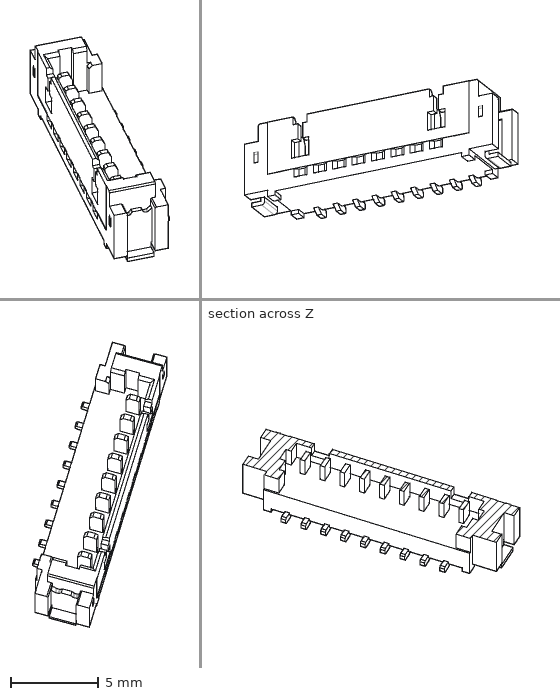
import cadquery as cq


contact_count = 9
pitch = 1.25
contact_width = 0.3
pin_front = 0.78
pin_back = 1.57
pin_top = 3.87
pin_front_bevel = 0.17
pin_back_bevel = 0.2
pin_front_bevel_height = 0.1
pin_back_bevel_height = 0.4
lead_top = 0.45
lead_back = 4.25
lead_back_bevel = 0.1
lead_front = 3.0

body_half = 6.5
body_front = 0.03
body_back = 3.7
body_bottom = 0.3
floor_top = 1.64
panel_bottom = 1.45
overlap = 0.2

tower_half = 7.11
tower_back = 2.8
tower_top = 4.7
tower_bevel = 0.1

cavity_half = 5.9
cavity_front = 0.42
cavity_bevel = 0.2
key_half = 6.24
key_front = 1.15
key_back = 1.97

ear_half = 8.0
ear_top = 3.63
ear_bottom = 0.44
ear_front_back = 0.82
ear_rear_front = 2.5
ear_rear_back = 3.29
ear_bevel = 0.08

post_inner = 5.58
post_lip_front = 2.73
post_back = 3.6
post_bevel = 0.27

latch_mouth = (-4.85, -3.95)
latch_neck = (-4.53, -4.23)
latch_window = (-4.95, -3.84)
latch_mouth_bottom = 4.21
latch_neck_bottom = 3.26
latch_window_bottom = 2.13

core_width = 0.84
core_side_taper = 0.22
core_depth = 0.2
core_bottom = 0.93

foot_outer = 6.5
foot_inner = 6.02
foot_bottom = 0.05
foot_front_depth = 0.8
foot_rear_front = 3.0

tab_thickness = 0.26
tab_outer = 7.37
tab_foot_outer = 7.95
tab_foot_front = 0.86
tab_foot_back = 2.46
tab_shoulder = 0.6
tab_valley = 2.9
tab_crest = 3.1
tab_middle = 1.61
tab_crest_half = 0.29
tab_valley_inner = 0.43
tab_valley_outer = 0.63
tab_valley_radius = 0.07
tab_bend_radius = 0.2
barb_bottom = 2.32
barb_top = 2.97
barb_slope_height = 0.15


def box(x0, x1, y0, y1, z0, z1):
    """Axis-aligned block between two opposite corners."""
    return cq.Workplane("XY").box(x1 - x0, y1 - y0, z1 - z0, centered=False).translate((x0, y0, z0))


def side_prism(points, x0, x1):
    """Outline of (Y, Z) points extruded from x0 to x1."""
    return cq.Workplane("YZ").polyline(points).close().extrude(x1 - x0).translate((x0, 0, 0))


def both_ends(shape):
    """The shape together with its mirror image about X = 0."""
    return shape.union(shape.mirror("YZ"))


def make_tower():
    tower = box(-tower_half, -body_half + overlap, body_front, tower_back, ear_bottom, tower_top)
    tower = tower.edges("<X and >Z").chamfer(tower_bevel)
    inner = box(-body_half, -post_inner, 0, tower_back, floor_top - overlap, tower_top)
    return tower.union(inner)


def make_ears():
    front = box(-ear_half, -body_half, body_front, ear_front_back, ear_bottom, ear_top)
    front = front.edges(">Y and >Z").chamfer(ear_bevel)
    rear = box(-ear_half, -body_half, ear_rear_front, ear_rear_back, ear_bottom, ear_top)
    rear = rear.edges("<Y and >Z").chamfer(ear_bevel)
    return front.union(rear)


def make_post():
    post = box(-body_half, -cavity_half, tower_back, post_back, body_bottom, ear_top)
    lip = box(-cavity_half, -post_inner, post_lip_front, post_back, body_bottom, ear_top)
    return post.union(lip.edges("<Y and >Z").chamfer(post_bevel))


def make_feet():
    front = box(-foot_outer, -foot_inner, body_front, foot_front_depth, foot_bottom, floor_top)
    rear = box(-foot_outer, -foot_inner, foot_rear_front, body_back, foot_bottom, floor_top)
    return front.union(rear)


def make_cavity():
    """Space inside the shroud: open top and back, flared rim, key grooves in both end walls."""
    cavity = box(-cavity_half, cavity_half, cavity_front, tower_back, floor_top, tower_top)
    rim_bottom = tower_top - cavity_bevel
    rim_half = cavity_half + cavity_bevel
    rim_front = cavity_front - cavity_bevel
    rim = (
        cq.Workplane("XY", origin=(0, 0, rim_bottom))
        .moveTo(-cavity_half, cavity_front).lineTo(cavity_half, cavity_front)
        .lineTo(cavity_half, tower_back).lineTo(-cavity_half, tower_back).close()
        .workplane(offset=cavity_bevel)
        .moveTo(-rim_half, rim_front).lineTo(rim_half, rim_front)
        .lineTo(rim_half, tower_back).lineTo(-rim_half, tower_back).close()
        .loft(ruled=True)
    )
    key = box(-key_half, key_half, key_front, key_back, floor_top, tower_top)
    return cavity.union(rim).union(key)


def make_latch_slot():
    mouth = box(*latch_mouth, 0, cavity_front, latch_mouth_bottom, tower_top)
    neck = box(*latch_neck, 0, cavity_front, latch_neck_bottom, tower_top)
    window = box(*latch_window, 0, cavity_front, latch_window_bottom, latch_neck_bottom)
    return mouth.union(neck).union(window)


def make_core_pocket(x):
    """Pocket that narrows with depth, below the overhanging front panel."""
    mouth = core_width / 2
    end = mouth - core_side_taper
    pocket_back = body_front + core_depth
    outline = [(-mouth, 0), (-mouth, body_front), (-end, pocket_back)]
    outline += [(end, pocket_back), (mouth, body_front), (mouth, 0)]
    pocket = cq.Workplane("XY").polyline(outline).close().extrude(panel_bottom - core_bottom)
    return pocket.translate((x, 0, core_bottom))


def make_housing():
    body = box(-body_half, body_half, body_front, body_back, body_bottom, floor_top)
    panel = box(-body_half, body_half, 0, cavity_front, panel_bottom, tower_top)
    ends = make_tower().union(make_ears()).union(make_post()).union(make_feet())
    housing = body.union(panel).union(both_ends(ends))
    housing = housing.cut(make_cavity()).cut(both_ends(make_latch_slot()))
    gap_count = contact_count - 1
    for i in range(gap_count):
        housing = housing.cut(make_core_pocket((i - (gap_count - 1) / 2) * pitch))
    return housing


def make_contact(x):
    """Upright pin with a tapered tip, and a solder lead with a bevelled back end."""
    x0 = x - contact_width / 2
    x1 = x + contact_width / 2
    pin = [
        (pin_front, floor_top - overlap),
        (pin_front, pin_top - pin_front_bevel_height),
        (pin_front + pin_front_bevel, pin_top),
        (pin_back - pin_back_bevel, pin_top),
        (pin_back, pin_top - pin_back_bevel_height),
        (pin_back, floor_top - overlap),
    ]
    lead = [
        (lead_front, lead_top),
        (body_back - lead_back_bevel, 0),
        (lead_back - lead_back_bevel, 0),
        (lead_back, lead_back_bevel),
        (lead_back, lead_top - lead_back_bevel),
        (lead_back - lead_back_bevel, lead_top),
    ]
    return side_prism(pin, x0, x1).union(side_prism(lead, x0, x1))


def make_tab():
    """Hold-down plate between the ears with a bent solder foot and a barb through the front ear."""
    plate_outline = [
        (ear_front_back, tab_shoulder),
        (ear_front_back, tab_crest),
        (tab_middle - tab_valley_outer, tab_valley),
        (tab_middle - tab_valley_inner, tab_valley),
        (tab_middle - tab_crest_half, tab_crest),
        (tab_middle + tab_crest_half, tab_crest),
        (tab_middle + tab_valley_inner, tab_valley),
        (tab_middle + tab_valley_outer, tab_valley),
        (ear_rear_front, tab_crest),
        (ear_rear_front, tab_shoulder),
    ]
    plate = side_prism(plate_outline, -tab_outer, -tower_half)
    half_depth = (tab_crest - tab_valley) / 2
    valley_span = cq.selectors.BoxSelector(
        (-ear_half, ear_front_back, tab_valley - half_depth),
        (0, ear_rear_front, tab_valley + half_depth),
    )
    plate = plate.edges("|X").edges(valley_span).fillet(tab_valley_radius)
    stem = box(-tab_outer, -tower_half, tab_foot_front, tab_foot_back, 0, tab_shoulder)
    foot = box(-tab_foot_outer, -tower_half, tab_foot_front, tab_foot_back, 0, tab_thickness)
    bent = stem.union(foot).edges("|Y and >X and <Z").fillet(tab_bend_radius)
    barb_outline = [
        (body_front + overlap, barb_bottom),
        (0, barb_bottom),
        (0, barb_top - barb_slope_height),
        (body_front, barb_top),
        (body_front + overlap, barb_top),
    ]
    barb = side_prism(barb_outline, -tab_outer, -tower_half)
    return plate.union(bent).union(barb)


result = make_housing().union(both_ends(make_tab()))
for i in range(contact_count):
    result = result.union(make_contact((i - (contact_count - 1) / 2) * pitch))